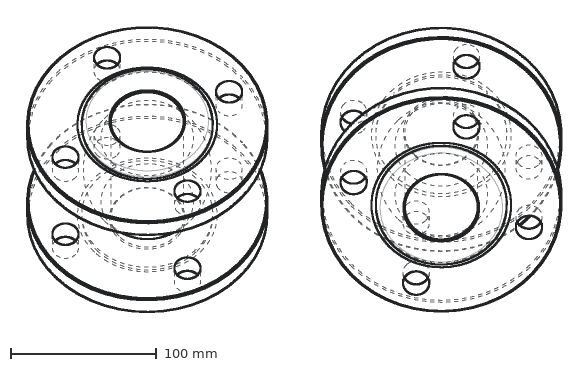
import cadquery as cq
import math

flange_diameter = 165.0
overall_height = 115.0

flange_thickness = 16.0
flange_bevel = 1.0
recess_width = 3.0
recess_depth = 1.3
bolt_hole_diameter = 18.0
bolt_circle_diameter = 125.0
bolt_count = 4
first_bolt_angle = 45.0

lip_diameter = 90.0
lip_height = 4.0
lip_rounding = 3.0

bulge_diameter = 88.0
neck_diameter = 63.5

bore_diameter = 50.0
bore_bevel = 1.0
bore_bevel_angle = 45.0

half_height = overall_height / 2
flange_outer_z = half_height - lip_height
flange_inner_z = flange_outer_z - flange_thickness


def make_body():
    """Solid of revolution with a bulging wall and a rounded lip disc carried through each flange."""
    neck_radius = neck_diameter / 2
    lip_radius = lip_diameter / 2
    bulge = (
        cq.Workplane("XZ")
        .moveTo(0, -flange_inner_z)
        .lineTo(neck_radius, -flange_inner_z)
        .threePointArc((bulge_diameter / 2, 0), (neck_radius, flange_inner_z))
        .lineTo(0, flange_inner_z)
        .close()
        .revolve(360, (0, 0), (0, 1))
    )
    lip = (
        cq.Workplane("XY")
        .workplane(offset=flange_inner_z)
        .circle(lip_radius)
        .extrude(half_height - flange_inner_z)
        .faces(">Z")
        .edges()
        .fillet(lip_rounding)
    )
    return bulge.union(lip).union(lip.mirror("XY"))


def make_upper_flange():
    """Bevelled ring with a conical recess around the lip and a circle of bolt holes."""
    recess_taper = math.degrees(math.atan2(recess_width, recess_depth))
    flange = (
        cq.Workplane("XY")
        .workplane(offset=flange_inner_z)
        .circle(flange_diameter / 2)
        .extrude(flange_thickness)
        .edges()
        .chamfer(flange_bevel)
    )
    lip_opening = (
        cq.Workplane("XY")
        .workplane(offset=flange_inner_z)
        .circle(lip_diameter / 2)
        .extrude(flange_thickness)
    )
    recess = (
        cq.Workplane("XY")
        .workplane(offset=flange_outer_z)
        .circle(lip_diameter / 2 + recess_width)
        .extrude(-recess_depth, taper=recess_taper)
    )
    bolt_holes = (
        cq.Workplane("XY")
        .workplane(offset=flange_inner_z)
        .polarArray(bolt_circle_diameter / 2, first_bolt_angle, 360, bolt_count)
        .circle(bolt_hole_diameter / 2)
        .extrude(flange_thickness)
    )
    return flange.cut(lip_opening).cut(recess).cut(bolt_holes)


def make_bore():
    """Through bore, widened by a bevel at both ends."""
    bore = cq.Workplane("XY").circle(bore_diameter / 2).extrude(half_height, both=True)
    upper_bevel = (
        cq.Workplane("XY")
        .workplane(offset=half_height)
        .circle(bore_diameter / 2 + bore_bevel)
        .extrude(-bore_bevel, taper=bore_bevel_angle)
    )
    return bore.union(upper_bevel).union(upper_bevel.mirror("XY"))


upper_flange = make_upper_flange()
result = make_body().union(upper_flange).union(upper_flange.mirror("XY")).cut(make_bore())